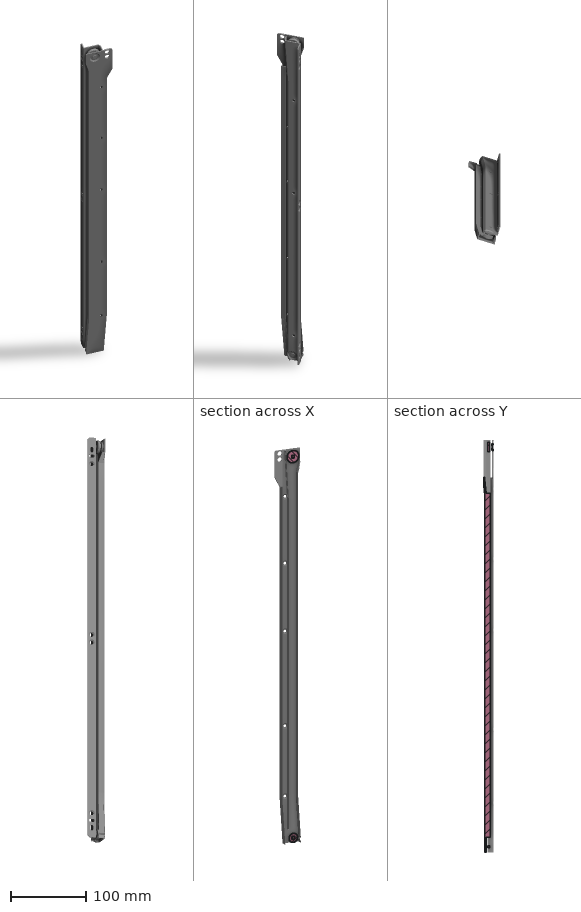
import cadquery as cq
import math

length = 551.0
width = 24.0
sheet = 1.0

drawer_sheet = 1.4
foot_z = 1.5
flange_front = 0.5
flange_corner = 2.0
web_x = 10.5
jog_x = 14.5
bend_radius = 1.0
jog_y = 17.5
jog_rise = 2.0
jog_top_y = 22.0
taper_z = 479.5
track_right = 20.5
track_foot = 22.0
toe_y = 17.0
toe_width = 1.5

hole_x = 5.5
screw_radius = 2.5
screw_sink_radius = 4.15
screw_zs = (34.5, 269.5, 280.0, 515.0)
slot_length = 7.5
slot_width = 4.0
cross_slot_zs = (25.0, 526.0)
long_slot_zs = (15.0, 534.5)
web_hole_y = 10.5
web_hole_zs = (44.0, 290.5, 450.5)
web_hole_radius = 2.0

lip_x = 16.0
lip_depth = 3.5
rim_depth = 3.0
rim_setback = 0.5
upper_y = 29.0
lower_y = 4.5
lower_flange_setback = 0.5
dip_z = 65.5
dip_foot_z = 9.0
dip_slope = 0.067
stop_notch = (2.0, 6.5)
foot_lip_y = 0.5
foot_lip_z = 3.5
flare_z = 518.5
flare_top_z = 533.0
flare_tip_width = 3.0
upper_end_z = 501.5
tab_y = 37.0
tab_sheet = 2.0
tab_root_y = 26.0
tab_foot_z = 514.0
tab_drop = 15.0
tab_corner = 1.5
tab_hole_y = 30.0
tab_hole_zs = (538.5, 547.0)
tab_hole_radius = 3.5
plate_hole_y = 21.5
plate_hole_zs = (67.0, 165.5, 297.5, 392.5, 485.5)
plate_hole_radius = 1.95
plate_sink_radius = 4.0

roller_left = 16.0
roller_right = 19.5
top_roller_radius = 9.0
top_roller_y = 12.5
top_roller_gap = 0.5
top_roller_z = length - top_roller_radius - top_roller_gap
bottom_roller_radius = 6.5
bottom_roller_y = 12.0
bottom_roller_z = 9.5
rivet_radius = 1.5
rivet_head_radius = 3.0
rivet_head = 1.0
dish_radius = 7.0
dish_wall = 0.5
dish_depth = 1.5
dish_flare = 1.5

plate_x = width - sheet


def disc(x_start, x_end, y, z, radius, end_radius=None):
    """Round body along X, optionally tapering to end_radius."""
    start = cq.Vector(x_start, y, z)
    axis = cq.Vector(1 if x_end > x_start else -1, 0, 0)
    height = abs(x_end - x_start)
    if end_radius is None:
        return cq.Workplane(cq.Solid.makeCylinder(radius, height, start, axis))
    return cq.Workplane(cq.Solid.makeCone(radius, end_radius, height, start, axis))


def side_shape(points, x_start, x_end):
    """Outline of (Y, Z) points, extruded along X."""
    return cq.Workplane("YZ", origin=(x_start, 0, 0)).polyline(points).close().extrude(x_end - x_start)


def band(edge, depth, x_start, x_end):
    """Strip that runs along a (Y, Z) edge, depth thick in Y."""
    inner = [(y + depth, z) for y, z in reversed(edge)]
    return side_shape(edge + inner, x_start, x_end)


def add_dish(body, outer_x, thickness, direction, y, z):
    """Dish pressed into a sheet from outer_x, with a rivet hole through its floor."""
    inner_x = outer_x + direction * thickness
    floor_x = outer_x + direction * dish_depth
    boss_x = inner_x + direction * dish_depth
    body = body.union(disc(inner_x, boss_x, y, z, dish_radius + dish_wall, dish_radius))
    body = body.cut(disc(outer_x, floor_x, y, z, dish_radius, dish_radius - dish_flare))
    return body.cut(disc(outer_x, boss_x, y, z, rivet_radius))


def web_outline(jog_start):
    """(X, Y) outline of the web and the slanted jog, which starts at jog_start."""
    bend_shift = drawer_sheet * math.tan(math.atan2(jog_x - web_x, jog_rise) / 2)
    inner = web_x + drawer_sheet
    jog_end = jog_start + jog_rise
    return [
        (web_x, flange_front),
        (inner, flange_front),
        (inner, jog_start - bend_shift),
        (jog_x + drawer_sheet, jog_end - bend_shift),
        (jog_x + drawer_sheet, jog_end),
        (jog_x, jog_end),
        (web_x, jog_start),
    ]


def drawer_flange_holes():
    front = cq.Workplane("XZ", origin=(0, flange_front, 0))
    holes = front.pushPoints([(hole_x, z) for z in screw_zs]).circle(screw_radius).extrude(-drawer_sheet)
    for z in screw_zs:
        sink = cq.Solid.makeCone(
            screw_sink_radius, screw_radius, drawer_sheet,
            cq.Vector(hole_x, flange_front, z), cq.Vector(0, 1, 0),
        )
        holes = holes.union(cq.Workplane(sink))
    for slot_zs, angle in ((cross_slot_zs, 0), (long_slot_zs, 90)):
        places = front.pushPoints([(hole_x, z) for z in slot_zs])
        slots = places.slot2D(slot_length, slot_width, angle).extrude(-drawer_sheet)
        holes = holes.union(slots)
    return holes


def make_drawer_rail():
    web = (
        cq.Workplane("XY", origin=(0, 0, foot_z))
        .polyline(web_outline(jog_y)).close().extrude(taper_z - foot_z)
    )
    rising_web = (
        cq.Workplane("XY", origin=(0, 0, taper_z)).polyline(web_outline(jog_y)).close()
        .workplane(offset=length - taper_z).polyline(web_outline(jog_top_y)).close()
        .loft(ruled=True)
    )
    flange = (
        cq.Workplane("XY")
        .box(web_x + drawer_sheet, drawer_sheet, length - foot_z, centered=False)
        .translate((0, flange_front, foot_z))
        .edges("|Y and <X").chamfer(flange_corner)
    )
    track_edge = [
        (jog_y + jog_rise, track_foot),
        (jog_y + jog_rise, taper_z),
        (jog_top_y + jog_rise, length),
    ]
    track = band(track_edge, -drawer_sheet, jog_x, track_right)
    toe = (
        cq.Workplane("XY")
        .box(drawer_sheet, toe_width, foot_z, centered=False)
        .translate((web_x, toe_y - toe_width, 0))
    )
    rail = web.union(rising_web).union(flange)
    bend = cq.selectors.NearestToPointSelector((web_x + drawer_sheet, flange_front, length / 2))
    rail = rail.edges(bend).fillet(bend_radius)
    rail = rail.union(track).union(toe)
    rail = add_dish(rail, web_x, drawer_sheet, 1, bottom_roller_y, bottom_roller_z)
    rail = rail.cut(drawer_flange_holes())
    for z in web_hole_zs:
        rail = rail.cut(disc(web_x, web_x + drawer_sheet, web_hole_y, z, web_hole_radius))
    return rail


dip_drop = (dip_z - dip_foot_z) * dip_slope
dip_end_drop = (dip_z - foot_z) * dip_slope
front_edge = [
    (foot_lip_y, foot_z),
    (foot_lip_y, foot_lip_z),
    stop_notch,
    (lower_y - dip_drop, dip_foot_z),
    (lower_y, dip_z),
    (lower_y, flare_z),
    (0, flare_top_z),
]
back_edge = [(upper_y, upper_end_z), (upper_y, dip_z), (upper_y - dip_end_drop, foot_z)]


def make_cabinet_rail():
    tab_edge = [
        (tab_y - tab_corner, length),
        (tab_y, length - tab_corner),
        (tab_y, tab_foot_z),
        (upper_y, tab_foot_z - tab_drop),
    ]
    plate = side_shape(front_edge + [(0, length), (upper_y, length)] + back_edge, plate_x, width)
    tab_root = [(tab_root_y, upper_end_z), (tab_root_y, length)]
    tab = side_shape(tab_root + tab_edge, width - tab_sheet, width)
    upper_flange = band(back_edge, -sheet, lip_x, plate_x)
    lip = band(back_edge, -lip_depth, lip_x, lip_x + sheet)
    lip_edge = [(y - lip_depth, z) for y, z in back_edge]
    rim_x = lip_x + rim_setback
    rim = band(lip_edge, -rim_depth, rim_x, rim_x + sheet)
    flange_edge = [(y + lower_flange_setback, z) for y, z in front_edge]
    lower_flange = band(flange_edge, sheet, lip_x, plate_x)
    flare_cut = (
        cq.Workplane("XZ")
        .polyline([(lip_x, flare_z), (plate_x - flare_tip_width, flare_top_z), (lip_x, flare_top_z)])
        .close().extrude(-(lower_y + lower_flange_setback + sheet))
    )
    rail = plate.union(tab).union(upper_flange).union(lip).union(rim).union(lower_flange.cut(flare_cut))
    rail = add_dish(rail, width, sheet, -1, top_roller_y, top_roller_z)
    for z in tab_hole_zs:
        rail = rail.cut(disc(width - tab_sheet, width, tab_hole_y, z, tab_hole_radius))
    for z in plate_hole_zs:
        rail = rail.cut(disc(plate_x, width, plate_hole_y, z, plate_sink_radius, plate_hole_radius))
    return rail


def make_roller(y, z, radius):
    bore = disc(roller_left, roller_right, y, z, rivet_radius)
    return disc(roller_left, roller_right, y, z, radius).cut(bore)


def make_rivet(floor_x, direction, tail_x, y, z):
    """Rivet with one head on the dish floor and one past the roller."""
    shank = disc(floor_x, tail_x, y, z, rivet_radius)
    head = disc(floor_x, floor_x - direction * rivet_head, y, z, rivet_head_radius)
    tail = disc(tail_x, tail_x + direction * rivet_head, y, z, rivet_head_radius)
    return shank.union(head).union(tail)


drawer_rail = make_drawer_rail()
cabinet_rail = make_cabinet_rail()
rollers = [
    make_roller(y, z, radius)
    for y, z, radius in (
        (bottom_roller_y, bottom_roller_z, bottom_roller_radius),
        (top_roller_y, top_roller_z, top_roller_radius),
    )
]
rivets = [
    make_rivet(web_x + dish_depth, 1, roller_right, bottom_roller_y, bottom_roller_z),
    make_rivet(width - dish_depth, -1, roller_left, top_roller_y, top_roller_z),
]

result = cq.Compound.makeCompound(
    [drawer_rail.val(), cabinet_rail.val()]
    + [roller.val() for roller in rollers]
    + [rivet.val() for rivet in rivets]
)